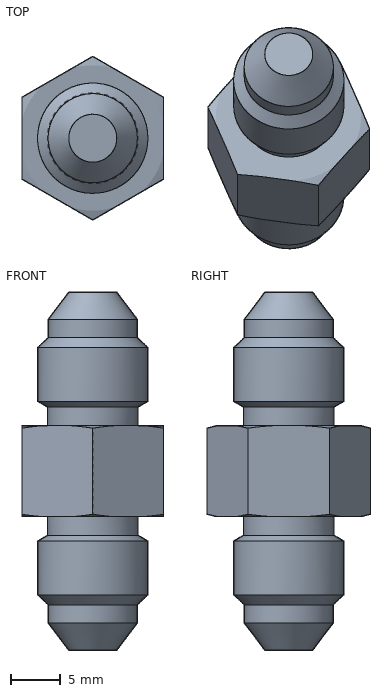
import cadquery as cq
import math

total_length = 36.07
hex_across_flats = 14.3
hex_height = 9.15
hex_chamfer_start_diameter = 14.65
hex_chamfer_angle = 15.0
hex_turn_angle = 30.0

tip_diameter = 4.85
nose_diameter = 8.98
body_diameter = 11.1
neck_diameter = 9.15

cone_length = 2.75
nose_length = 1.85
body_length = 5.4
neck_length = 1.88
neck_taper_length = 0.58

half_length = total_length / 2
hex_corner_radius = hex_across_flats / math.sqrt(3)


def make_stem():
    """Revolved upper end: neck, body, nose and flat-tipped cone."""
    cone_base_z = half_length - cone_length
    nose_base_z = cone_base_z - nose_length
    neck_top_z = hex_height / 2 + neck_length
    body_bottom_z = neck_top_z + neck_taper_length
    body_top_z = body_bottom_z + body_length
    profile = [
        (0, 0),
        (neck_diameter / 2, 0),
        (neck_diameter / 2, neck_top_z),
        (body_diameter / 2, body_bottom_z),
        (body_diameter / 2, body_top_z),
        (nose_diameter / 2, nose_base_z),
        (nose_diameter / 2, cone_base_z),
        (tip_diameter / 2, half_length),
        (0, half_length),
    ]
    return cq.Workplane("XZ").polyline(profile).close().revolve(360, (0, 0), (0, 1))


def make_hexagon():
    """Central hexagon with flats facing +X and -X and conically chamfered corners."""
    prism = (
        cq.Workplane("XY")
        .polygon(6, 2 * hex_corner_radius)
        .extrude(hex_height / 2, both=True)
        .rotate((0, 0, 0), (0, 0, 1), hex_turn_angle)
    )
    face_z = hex_height / 2
    face_radius = hex_chamfer_start_diameter / 2
    chamfer_drop = (hex_corner_radius - face_radius) * math.tan(math.radians(hex_chamfer_angle))
    edge_z = face_z - chamfer_drop
    profile = [
        (0, -face_z),
        (face_radius, -face_z),
        (hex_corner_radius, -edge_z),
        (hex_corner_radius, edge_z),
        (face_radius, face_z),
        (0, face_z),
    ]
    envelope = cq.Workplane("XZ").polyline(profile).close().revolve(360, (0, 0), (0, 1))
    return prism.intersect(envelope)


upper_stem = make_stem()
lower_stem = upper_stem.mirror("XY")
result = make_hexagon().union(upper_stem).union(lower_stem)